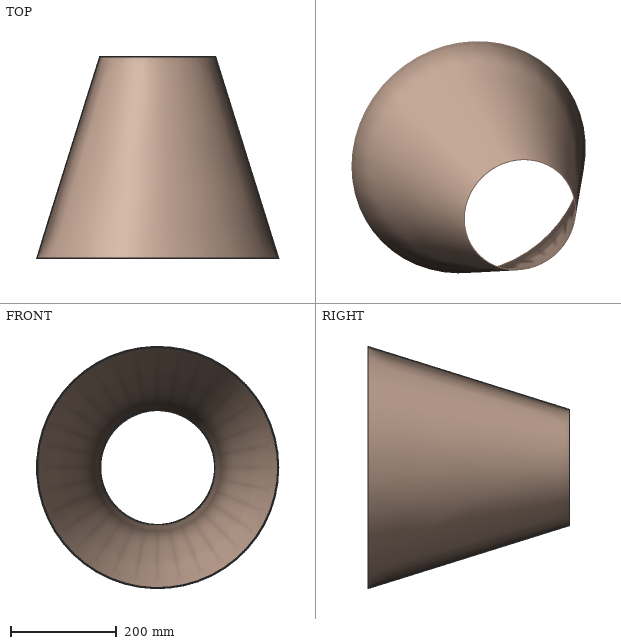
import cadquery as cq

large_diameter = 457.0
small_diameter = 219.0
length = 381.0
wall = 2.0

large_radius = large_diameter / 2
small_radius = small_diameter / 2

wall_section = (
    cq.Workplane("XY")
    .moveTo(large_radius - wall, 0)
    .lineTo(large_radius, 0)
    .lineTo(small_radius, length)
    .lineTo(small_radius - wall, length)
    .close()
)

result = wall_section.revolve(360, (0, 0, 0), (0, 1, 0))